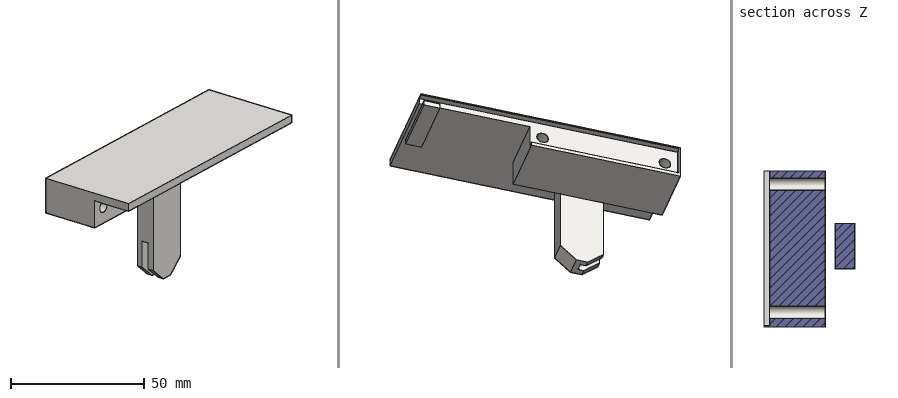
import cadquery as cq


length = 102.0
width = 39.0
total_height = 42.2
plate_thickness = 3.2

block_width = 23.1
block_length = 58.5
block_height = 14.3

recess_depth = 2.1
recess_wall = 0.6
recess_bottom_wall = 1.5

hole_diameter = 4.5
hole_depth_below_top = 7.4
hole_first_y = 5.5
hole_spacing = 48.0

blade_x = 26.7
blade_y = 21.8
blade_width = 7.4
blade_length = 17.0
tip_height = 5.6
tip_flat = 4.5
slot_offset = 2.1
slot_width = 2.9
slot_height = 16.3
slot_depth = blade_length / 2

tab_length = 6.2
tab_height = 2.1
tab_end_gap = 1.2


def box(x, y, z, dx, dy, dz):
    """Box with its minimum corner at (x, y, z)."""
    return cq.Workplane("XY").box(dx, dy, dz, centered=False).translate((x, y, z))


def make_blade():
    """Pointed blade reaching from inside the plate down to the lowest point."""
    tip_inset = (blade_length - tip_flat) / 2
    blade_end = blade_y + blade_length
    profile = [
        (blade_y, -plate_thickness / 2),
        (blade_end, -plate_thickness / 2),
        (blade_end, tip_height - total_height),
        (blade_end - tip_inset, -total_height),
        (blade_y + tip_inset, -total_height),
        (blade_y, tip_height - total_height),
    ]
    blade = cq.Workplane("YZ", origin=(blade_x, 0, 0)).polyline(profile).close().extrude(blade_width)
    slot_x = blade_x + slot_offset
    slot = box(slot_x, blade_y, -total_height, slot_width, slot_depth, slot_height)
    return blade.cut(slot)


def make_recess():
    """Volume removed from the -X side of the plate and block."""
    recess_height = block_height - recess_wall - recess_bottom_wall
    return box(
        0, recess_wall, recess_bottom_wall - block_height,
        recess_depth, length - recess_wall, recess_height,
    )


def make_holes():
    """Two cylinders along X, the full width of the block."""
    centers = [(hole_first_y + i * hole_spacing, -hole_depth_below_top) for i in range(2)]
    return cq.Workplane("YZ").pushPoints(centers).circle(hole_diameter / 2).extrude(block_width)


plate = box(0, 0, -plate_thickness, width, length, plate_thickness)
block = box(0, 0, -block_height, block_width, block_length, block_height)
tab = box(
    0, length - tab_end_gap - tab_length, -plate_thickness - tab_height,
    block_width, tab_length, tab_height,
)

body = plate.union(block).cut(make_recess()).cut(make_holes())
result = body.union(tab).union(make_blade())